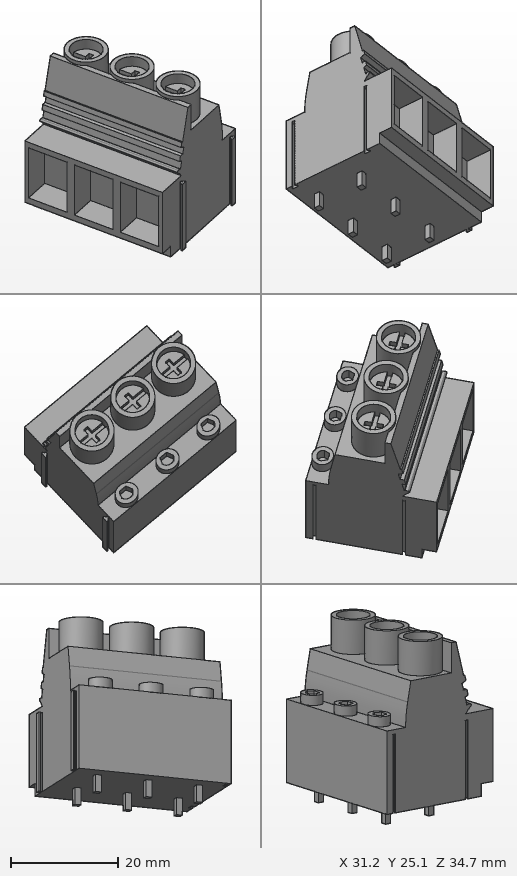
import cadquery as cq


POLES = 3
PITCH = 10.15
WIDTH = POLES * PITCH

OVERALL_HEIGHT = 34.7
DEPTH = 25.05
FOOT_SETBACK = 2.8
FOOT_HEIGHT = 2.43
BLOCK_TOP = 16.45
SHELF_TOP = 16.05
PLATFORM_TOP = 24.85
RIDGE_TOP = 30.65
RIDGE_FRONT = 8.75
RIDGE_BACK = 9.9
PLATFORM_BACK = 19.43
SHELF_FRONT = 20.68
BACK_SLOPE_BEND = (20.2, 20.9)

LIP_TIP = (5.15, 18.25)
GRIP_CORNERS = [
    (6.42, BLOCK_TOP),
    (5.97, 17.1),
    (5.15, 17.9),
    LIP_TIP,
    (6.05, 18.2),
    (6.18, 18.1),
    (6.6, 19.67),
    (5.9, 20.0),
    (6.18, 21.1),
    (6.97, 21.1),
    (7.32, 22.38),
    (6.4, 22.9),
    (6.65, 23.87),
    (6.95, 23.87),
]
LIP_TIP_RADIUS = 0.28

OPENING_WIDTH = 8.5
OPENING_BOTTOM = 3.75
OPENING_TOP = 15.2
OPENING_DEPTH = 5.55

TOWER_TOP = 31.45
TOWER_Y = 13.22
TOWER_RADIUS = 4.13
SCREW_RADIUS = 3.15
SCREW_RECESS = 2.2
SCREW_TOP = TOWER_TOP - SCREW_RECESS
SCREW_LENGTH = SCREW_TOP - PLATFORM_TOP
SLOT_WIDTH = 1.0
CROSS_WIDTH = 0.95
CROSS_LENGTH = 3.5
SLOT_DEPTH = 1.05

SOCKET_Y = 22.97
SOCKET_TOP = 18.0
SOCKET_RADII = (2.25, 2.0)
SOCKET_HOLE_RADII = (1.32, 1.08)
SOCKET_FLAT_OFFSET = 1.15
SOCKET_FLAT_WIDTH = 1.6

RAIL_YS = (6.25, 23.4)
RAIL_TOP = 15.2
RAIL_DEPTH = 0.75
RAIL_NECK_LENGTH = 0.25
RAIL_HEAD_START = 0.5
RAIL_NECK_WIDTH = 0.6
RAIL_HEAD_WIDTH = 1.2

PIN_WIDTH = 1.2
PIN_LENGTH = OVERALL_HEIGHT - TOWER_TOP
FRONT_PIN_Y = 11.15
PIN_YS = (FRONT_PIN_Y, FRONT_PIN_Y + PITCH)

POLE_XS = [(pole + 0.5) * PITCH for pole in range(POLES)]


def points_at(y):
    """One point per pole, all at the same Y."""
    return [(x, y) for x in POLE_XS]


def housing_block():
    """Side profile of the housing swept along the row of poles."""
    return (
        cq.Workplane("YZ")
        .moveTo(FOOT_SETBACK, 0)
        .lineTo(FOOT_SETBACK, FOOT_HEIGHT)
        .lineTo(0, FOOT_HEIGHT)
        .lineTo(0, BLOCK_TOP)
        .polyline(GRIP_CORNERS, includeCurrent=True)
        .lineTo(RIDGE_FRONT, RIDGE_TOP)
        .lineTo(RIDGE_BACK, RIDGE_TOP)
        .lineTo(RIDGE_BACK, PLATFORM_TOP)
        .lineTo(PLATFORM_BACK, PLATFORM_TOP)
        .lineTo(*BACK_SLOPE_BEND)
        .tangentArcPoint((SHELF_FRONT, SHELF_TOP), relative=False)
        .lineTo(DEPTH, SHELF_TOP)
        .lineTo(DEPTH, 0)
        .close()
        .extrude(WIDTH)
    )


def round_long_edge(body, corner, radius):
    """Round the edge that runs along X through the given (Y, Z) corner."""
    edge = cq.selectors.NearestToPointSelector((WIDTH / 2, *corner))
    return body.edges(edge).fillet(radius)


def wire_openings():
    """Rectangular pockets in the wire-side face."""
    height = OPENING_TOP - OPENING_BOTTOM
    return (
        cq.Workplane("XY", origin=(0, 0, OPENING_BOTTOM))
        .pushPoints(points_at(OPENING_DEPTH / 2))
        .rect(OPENING_WIDTH, OPENING_DEPTH)
        .extrude(height)
    )


def cylinders(radius):
    """Upright cylinders at the screw positions, from the platform up to the tower tops."""
    return (
        cq.Workplane("XY", origin=(0, 0, PLATFORM_TOP))
        .pushPoints(points_at(TOWER_Y))
        .circle(radius)
        .extrude(TOWER_TOP - PLATFORM_TOP)
    )


def sockets():
    """Upright oval posts standing on the back shelf."""
    return (
        cq.Workplane("XY", origin=(0, 0, SHELF_TOP))
        .pushPoints(points_at(SOCKET_Y))
        .ellipse(*SOCKET_RADII)
        .extrude(SOCKET_TOP - SHELF_TOP)
    )


def socket_hole(x):
    """Hole through a post: half an oval at the back, narrowing to a flat at the front."""
    radius_x, radius_y = SOCKET_HOLE_RADII
    half_flat = SOCKET_FLAT_WIDTH / 2
    return (
        cq.Workplane("XY", origin=(x, SOCKET_Y, SHELF_TOP))
        .moveTo(radius_x, 0)
        .ellipseArc(radius_x, radius_y, 0, 180, startAtCurrent=True)
        .lineTo(-half_flat, -SOCKET_FLAT_OFFSET)
        .lineTo(half_flat, -SOCKET_FLAT_OFFSET)
        .close()
        .extrude(SOCKET_TOP - SHELF_TOP)
    )


def rails(base_x):
    """Dovetail bars that reach out from the given X toward +X."""
    neck = RAIL_NECK_WIDTH / 2
    head = RAIL_HEAD_WIDTH / 2
    half_outline = [(0, neck), (RAIL_NECK_LENGTH, neck), (RAIL_HEAD_START, head), (RAIL_DEPTH, head)]
    outline = half_outline + [(x, -y) for x, y in reversed(half_outline)]
    bar = cq.Workplane("XY").polyline(outline).close().extrude(RAIL_TOP).val()
    return (
        cq.Workplane("XY")
        .pushPoints([(base_x, y) for y in RAIL_YS])
        .eachpoint(bar.moved)
    )


def make_housing():
    """Housing with towers, sockets, rails and grooves, hollowed for wires, screws and probes."""
    body = round_long_edge(housing_block(), LIP_TIP, LIP_TIP_RADIUS)
    body = (
        body.union(cylinders(TOWER_RADIUS))
        .union(sockets())
        .union(rails(WIDTH))
        .cut(rails(0))
        .cut(wire_openings())
        .cut(cylinders(SCREW_RADIUS))
    )
    for x in POLE_XS:
        body = body.cut(socket_hole(x))
    return body


def make_screw(x):
    """Screw with a full-width slot along X crossed by a shorter one along Y."""
    shank = cq.Workplane("XY", origin=(x, TOWER_Y, PLATFORM_TOP)).circle(SCREW_RADIUS).extrude(SCREW_LENGTH)
    top = cq.Workplane("XY", origin=(x, TOWER_Y, SCREW_TOP))
    slot = top.rect(2 * SCREW_RADIUS, SLOT_WIDTH).extrude(-SLOT_DEPTH)
    cross = top.rect(CROSS_WIDTH, CROSS_LENGTH).extrude(-SLOT_DEPTH)
    return shank.cut(slot).cut(cross)


def make_pin(x, y):
    """Square solder pin hanging below the housing."""
    return cq.Workplane("XY", origin=(x, y, 0)).rect(PIN_WIDTH, PIN_WIDTH).extrude(-PIN_LENGTH)


housing = make_housing()
screws = [make_screw(x).val() for x in POLE_XS]
pins = [make_pin(x, y).val() for x in POLE_XS for y in PIN_YS]

result = cq.Compound.makeCompound([housing.val(), *screws, *pins])